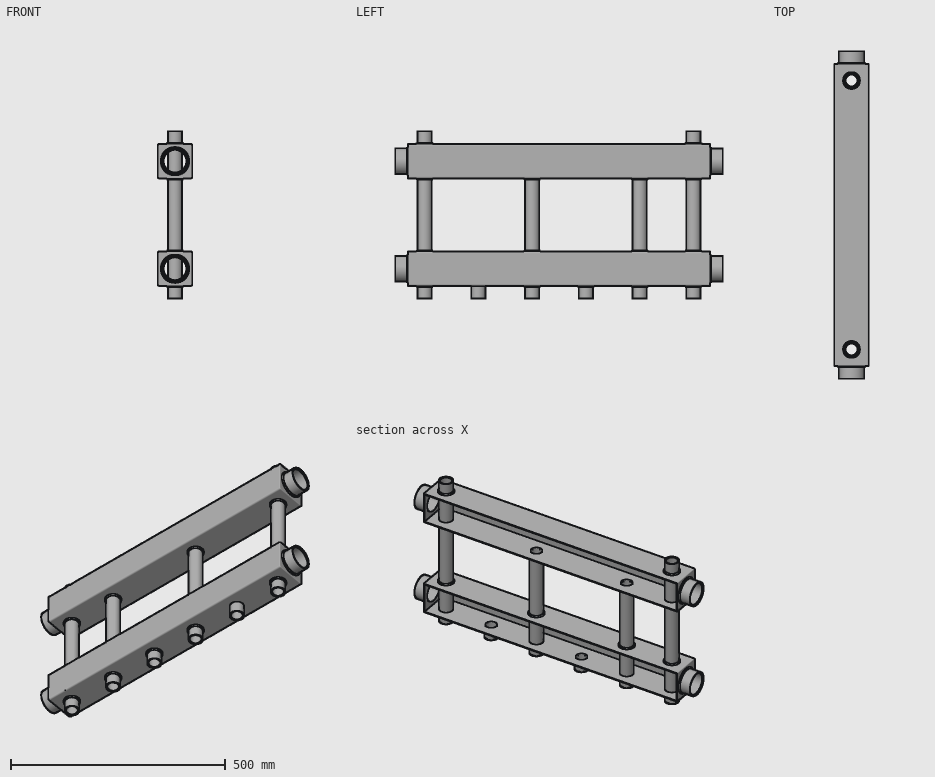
import cadquery as cq

total_length = 763.0
total_height = 390.0

header_width = 81.0
header_length = 703.5
header_wall = 4.0
header_corner_radius = 4.5
header_end_radius = 2.0
header_spacing = 250.0

main_outer = 60.0
main_bore = 53.0
main_mouth = 57.0

tube_outer = 33.5
tube_bore = 27.5
tube_mouth = 30.0
tube_pitch = 125.0
bottom_tube_count = 6

weld_leg = 3.0

header_levels = (-header_spacing / 2, header_spacing / 2)
tube_places = [(i - (bottom_tube_count - 1) / 2) * tube_pitch for i in range(bottom_tube_count)]
through_places = (tube_places[0], tube_places[-1])
bridge_places = (tube_places[1], tube_places[3])
outlet_place = tube_places[2]
plain_outlet_place = tube_places[4]

up = cq.Vector(0, 0, 1)
down = -up

part_top = total_height / 2
part_bottom = -part_top
lower_roof = header_levels[0] + header_width / 2
lower_floor = header_levels[0] - header_width / 2
upper_roof = header_levels[1] + header_width / 2
upper_floor = header_levels[1] - header_width / 2


def cylinder(diameter, start, end, direction):
    """Cylinder from point start, reaching to point end along direction."""
    length = (end - start).Length
    return cq.Workplane(cq.Solid.makeCylinder(diameter / 2, length, start, direction))


def cone(base_diameter, tip_diameter, height, base, direction):
    """Frustum standing on point base."""
    return cq.Workplane(
        cq.Solid.makeCone(base_diameter / 2, tip_diameter / 2, height, base, direction)
    )


def weld(diameter, base, direction):
    """Conical bead around a pipe where it meets a header face."""
    return cone(diameter + 2 * weld_leg, diameter, weld_leg, base, direction)


def mouth(mouth_diameter, bore_diameter, rim, inward):
    """45 degree countersink cutter at an open pipe end."""
    depth = (mouth_diameter - bore_diameter) / 2
    return cone(mouth_diameter, bore_diameter, depth, rim, inward)


def header(level):
    """Hollow square box with rounded edges, centred at height level."""
    outer = (
        cq.Workplane("XY")
        .box(header_width, header_length, header_width)
        .edges("|Y")
        .fillet(header_corner_radius)
        .faces("<Y or >Y")
        .edges()
        .fillet(header_end_radius)
    )
    inner_width = header_width - 2 * header_wall
    cavity = cq.Workplane("XY").box(inner_width, header_length - 2 * header_wall, inner_width)
    return outer.cut(cavity).translate((0, 0, level))


def main_pipe(body, level, side):
    """Add one connection pipe that opens into a header end; side is -1 or 1 along Y."""
    outward = cq.Vector(0, side, 0)
    face = cq.Vector(0, side * header_length / 2, level)
    inside = face - outward * header_wall
    rim = cq.Vector(0, side * total_length / 2, level)
    body = body.union(cylinder(main_outer, inside, rim, outward))
    body = body.union(weld(main_outer, face, outward))
    body = body.cut(cylinder(main_bore, inside, rim, outward))
    return body.cut(mouth(main_mouth, main_bore, rim, -outward))


def vertical_tube(body, y, bottom, top, weld_levels):
    """Add an open tube with its weld beads; weld_levels pairs each height with a direction."""
    start = cq.Vector(0, y, bottom)
    end = cq.Vector(0, y, top)
    body = body.union(cylinder(tube_outer, start, end, up))
    for height, direction in weld_levels:
        body = body.union(weld(tube_outer, cq.Vector(0, y, height), direction))
    body = body.cut(cylinder(tube_bore, start, end, up))
    body = body.cut(mouth(tube_mouth, tube_bore, start, up))
    if top == part_top:
        body = body.cut(mouth(tube_mouth, tube_bore, end, down))
    return body


body = header(header_levels[0]).union(header(header_levels[1]))

for level in header_levels:
    for side in (-1, 1):
        body = main_pipe(body, level, side)

outlet_welds = [(lower_floor, down)]
bridge_welds = outlet_welds + [(lower_roof, up), (upper_floor, down)]
through_welds = bridge_welds + [(upper_roof, up)]

for y in through_places:
    body = vertical_tube(body, y, part_bottom, part_top, through_welds)

for y in bridge_places:
    body = vertical_tube(body, y, part_bottom, upper_floor + header_wall, bridge_welds)

outlet_top = lower_floor + header_wall
body = vertical_tube(body, outlet_place, part_bottom, outlet_top, outlet_welds)
body = vertical_tube(body, plain_outlet_place, part_bottom, outlet_top, [])

result = body